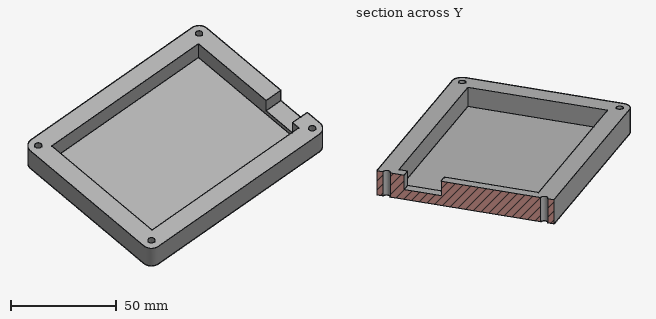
import cadquery as cq

WIDTH = 89.2
LENGTH = 112.6
HEIGHT = 13.0
CORNER_RADIUS = 5.0

WALL = 9.5
POCKET_DEPTH = 10.0

NOTCH_WIDTH = 18.5
NOTCH_DEPTH = 7.5
NOTCH_SHOULDER = 4.4

HOLE_DIAMETER = 3.4


def make_blank():
    """Plate with rounded vertical corners, centred on Z and resting on Z = 0."""
    plate = cq.Workplane("XY").box(WIDTH, LENGTH, HEIGHT, centered=(True, True, False))
    return plate.edges("|Z").fillet(CORNER_RADIUS)


def cut_pocket(tray):
    """Rectangular recess that leaves a floor and a wall of even thickness."""
    pocket = tray.faces(">Z").workplane()
    return pocket.rect(WIDTH - 2 * WALL, LENGTH - 2 * WALL).cutBlind(-POCKET_DEPTH)


def cut_notch(tray):
    """Slot across the back wall, with its floor just above the pocket floor."""
    right_side = WIDTH / 2 - WALL - NOTCH_SHOULDER
    centre_x = right_side - NOTCH_WIDTH / 2
    centre_y = LENGTH / 2 - WALL / 2
    slot = (
        cq.Workplane("XY", origin=(centre_x, centre_y, HEIGHT - NOTCH_DEPTH))
        .box(NOTCH_WIDTH, WALL, NOTCH_DEPTH, centered=(True, True, False))
    )
    return tray.cut(slot)


def drill_screw_holes(tray):
    """Four through holes, one near each corner."""
    spacing_x = WIDTH - 2 * CORNER_RADIUS
    spacing_y = LENGTH - 2 * CORNER_RADIUS
    holes = (
        cq.Workplane("XY")
        .rect(spacing_x, spacing_y, forConstruction=True)
        .vertices()
        .circle(HOLE_DIAMETER / 2)
        .extrude(HEIGHT)
    )
    return tray.cut(holes)


def make_tray():
    """Shallow open tray: one solid body."""
    tray = make_blank()
    tray = cut_pocket(tray)
    tray = cut_notch(tray)
    return drill_screw_holes(tray)


tray = make_tray()

result = cq.Compound.makeCompound([tray.val()])